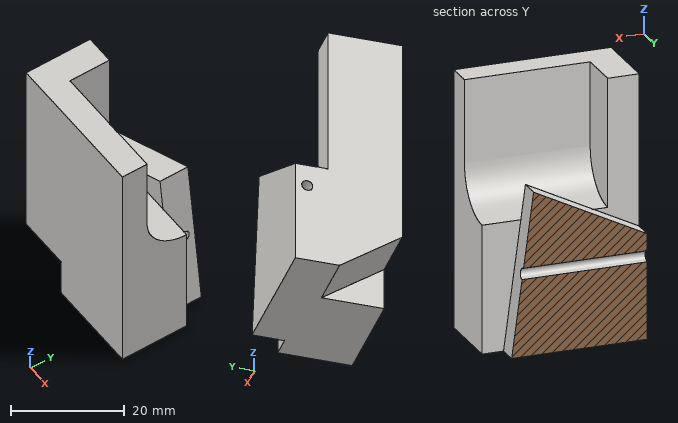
import cadquery as cq

width = 29.65
height = 48.7
body_depth = 13.75

column_width = 6.0
plate_thickness = 5.25
floor_radius = body_depth - plate_thickness
floor_height = height / 2

total_depth = 19.75
wedge_base_width = 25.65
wedge_left_height = 19.98
wedge_peak_x = 21.5
wedge_peak_height = 30.9

hole_diameter = 2.0
hole_y = 17.55
hole_z = 15.7

bevel_width = 10.7
bevel_depth = 11.6
bevel_height = 8.3


def make_body():
    return cq.Workplane("XY").box(width, body_depth, height, centered=False)


def make_recess():
    """Recess open to the right, rear and top, with a quarter-round root at the plate."""
    return (
        cq.Workplane("YZ", origin=(column_width, 0, 0))
        .moveTo(body_depth, floor_height)
        .radiusArc((plate_thickness, floor_height + floor_radius), floor_radius)
        .lineTo(plate_thickness, height)
        .lineTo(body_depth, height)
        .close()
        .extrude(width - column_width)
    )


def make_wedge():
    outline = [
        (0, 0),
        (wedge_base_width, 0),
        (wedge_peak_x, wedge_peak_height),
        (0, wedge_left_height),
    ]
    return (
        cq.Workplane("XZ", origin=(0, total_depth, 0))
        .polyline(outline)
        .close()
        .extrude(total_depth - body_depth)
    )


def make_cross_hole():
    return (
        cq.Workplane("YZ")
        .center(hole_y, hole_z)
        .circle(hole_diameter / 2)
        .extrude(wedge_base_width)
    )


def make_bevel():
    return (
        cq.Workplane("YZ")
        .polyline([(0, 0), (bevel_depth, 0), (0, bevel_height)])
        .close()
        .extrude(bevel_width)
    )


result = (
    make_body()
    .cut(make_recess())
    .union(make_wedge())
    .cut(make_cross_hole())
    .cut(make_bevel())
)